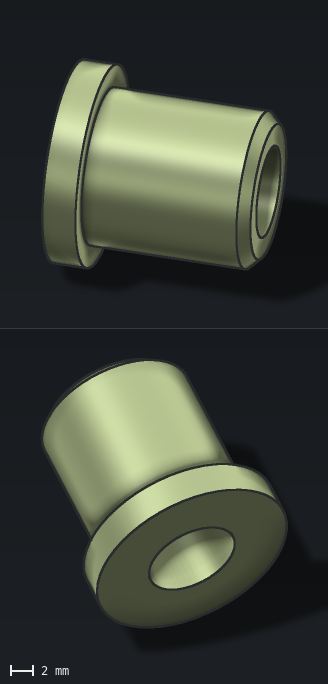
import cadquery as cq

total_length = 18.0
flange_diameter = 18.0
flange_thickness = 3.0
body_diameter = 14.0
bore_diameter = 8.12
end_chamfer = 1.0

flange = cq.Workplane("YZ").circle(flange_diameter / 2).extrude(flange_thickness)

body = (
    cq.Workplane("YZ")
    .circle(body_diameter / 2)
    .extrude(total_length)
    .faces(">X")
    .chamfer(end_chamfer)
)

bore = cq.Workplane("YZ").circle(bore_diameter / 2).extrude(total_length)

result = flange.union(body).cut(bore)